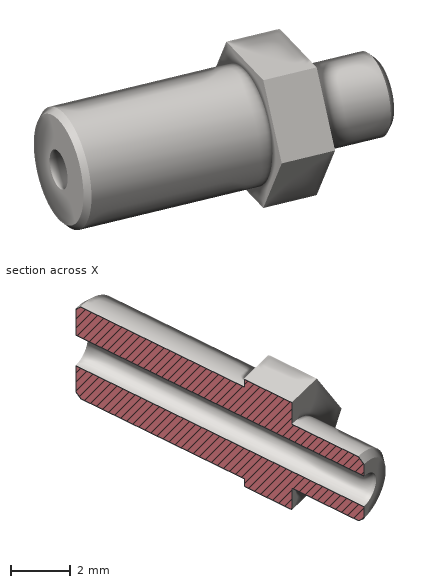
import cadquery as cq
import math

total_length = 12.0
barrel_length = 7.0
hex_length = 2.0
stub_length = total_length - barrel_length - hex_length

hex_across_flats = 5.0
hex_across_corners = hex_across_flats / math.cos(math.radians(30))
barrel_diameter = 4.3
stub_diameter = 3.0
bore_diameter = 1.4

barrel_chamfer = 0.2
stub_chamfer = 0.24

barrel_end = -total_length / 2
hex_start = barrel_end + barrel_length
hex_end = hex_start + hex_length


def plane_at(y):
    """Work plane across the axis at y, facing +Y, with its local x along X."""
    return cq.Workplane(cq.Plane(origin=(0, y, 0), xDir=(1, 0, 0), normal=(0, 1, 0)))


barrel = plane_at(barrel_end).circle(barrel_diameter / 2).extrude(barrel_length)
barrel = barrel.faces("<Y").chamfer(barrel_chamfer)

collar = plane_at(hex_start).polygon(6, hex_across_corners).extrude(hex_length)

stub = plane_at(hex_end).circle(stub_diameter / 2).extrude(stub_length)
stub = stub.faces(">Y").chamfer(stub_chamfer)

bore = plane_at(barrel_end).circle(bore_diameter / 2).extrude(total_length)

result = barrel.union(collar).union(stub).cut(bore)